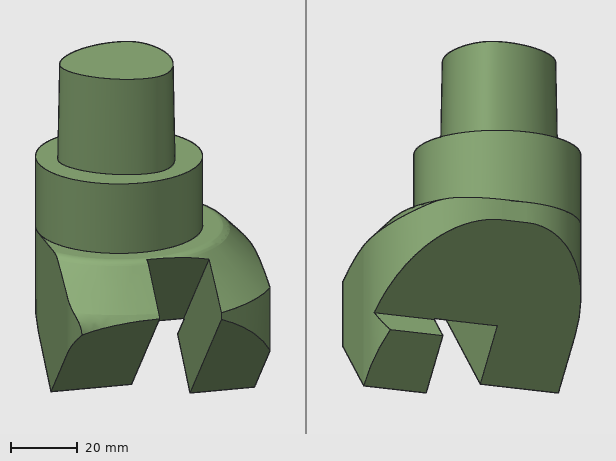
import cadquery as cq
import math

shank_length = 30.0
shank_base_width = 35.05
shank_top_width = 33.95
shank_lobe = 1.15

collar_radius = 24.99
collar_height = 22.0

head_radius = 25.0
head_back_y = 40.0
head_swing_radius = 47.0
back_corner_radius = 32.0
front_corner_radius = 17.0
front_corner_x = 32.8

shoulder_top_radius = 32.0
shoulder_top_blend = 4.0
shoulder_rim_blend = 8.0

tilt = math.radians(45.0)
seat_corner_z = -53.38
slot_depth = 20.0
slot_width = 20.0
key_height = 10.0
key_width = 19.7
reach = 100.0


def tilted_point(outward, across):
    """XZ point measured from the seat corner, along and across the tilted axis."""
    x = outward * math.cos(tilt) + across * math.sin(tilt)
    z = seat_corner_z - outward * math.sin(tilt) + across * math.cos(tilt)
    return x, z


def tilted_block(outward, across, y_range):
    """Box lying along the tilted axis; each argument is a (start, end) pair."""
    corners = [
        tilted_point(outward[0], across[0]),
        tilted_point(outward[1], across[0]),
        tilted_point(outward[1], across[1]),
        tilted_point(outward[0], across[1]),
    ]
    plane = cq.Workplane("XZ", origin=(0, y_range[0], 0))
    return plane.polyline(corners).close().extrude(y_range[0] - y_range[1])


def trilobe(width):
    """Curve of constant width with one of its three lobes pointing to -Y."""
    def point(turn):
        angle = 2 * math.pi * turn
        support = width / 2 + shank_lobe * math.sin(3 * angle)
        slope = 3 * shank_lobe * math.cos(3 * angle)
        x = support * math.cos(angle) - slope * math.sin(angle)
        y = support * math.sin(angle) + slope * math.cos(angle)
        return x, y
    return point


def make_shank():
    base = cq.Workplane("XY").parametricCurve(trilobe(shank_base_width))
    top = base.workplane(offset=shank_length).parametricCurve(trilobe(shank_top_width))
    return top.loft(ruled=True)


def make_collar():
    return cq.Workplane("XY").circle(collar_radius).extrude(-collar_height)


def make_head_prism():
    """Head outline extruded down from the underside of the collar.

    The right side is left oversize; the turned shoulder trims it to the swing radius.
    """
    back_center_x = -head_radius + back_corner_radius
    back_center_y = head_back_y - back_corner_radius
    right_x = front_corner_x + front_corner_radius
    return (
        cq.Workplane("XY", origin=(0, 0, -collar_height))
        .moveTo(-head_radius, 0)
        .radiusArc((0, -head_radius), -head_radius)
        .lineTo(front_corner_x, -head_radius)
        .radiusArc((right_x, -head_radius + front_corner_radius), -front_corner_radius)
        .lineTo(right_x, head_back_y)
        .lineTo(back_center_x, head_back_y)
        .radiusArc((-head_radius, back_center_y), -back_corner_radius)
        .close()
        .extrude(-reach)
    )


def make_shoulder():
    """Turned envelope around Z that bevels the top of the head."""
    cone_drop = head_swing_radius - shoulder_top_radius
    profile = [
        (0, -collar_height),
        (shoulder_top_radius, -collar_height),
        (head_swing_radius, -collar_height - cone_drop),
        (head_swing_radius, -reach),
        (0, -reach),
    ]
    turned = cq.Workplane("XZ").polyline(profile).close().revolve(360, (0, 0, 0), (0, 1, 0))
    return turned.faces(">Z").edges().fillet(shoulder_top_blend)


def blend_rim(shoulder):
    """Round the edge between the cone and the swing cylinder."""
    rim = shoulder.edges(cq.selectors.RadiusNthSelector(-1)).edges(">Z")
    return rim.fillet(shoulder_rim_blend)


def make_head():
    """Front jaw with a blended rim, slot and back jaw with a sharp rim, key under the back jaw."""
    front_span = (-head_radius, 0)
    slot_span = (0, slot_width)
    back_span = (slot_width, head_back_y)

    front_jaw = tilted_block((-reach, slot_depth), (0, reach), front_span)
    slot_web = tilted_block((-reach, 0), (0, reach), slot_span)
    back_jaw = tilted_block((-reach, slot_depth), (0, reach), back_span)
    key = tilted_block((slot_depth - key_width, slot_depth), (-key_height, 0), back_span)

    prism = make_head_prism()
    shoulder = make_shoulder()
    front = prism.intersect(front_jaw).intersect(blend_rim(shoulder))
    back = prism.intersect(slot_web.union(back_jaw).union(key)).intersect(shoulder)
    return front.union(back)


result = make_head().union(make_collar()).union(make_shank())